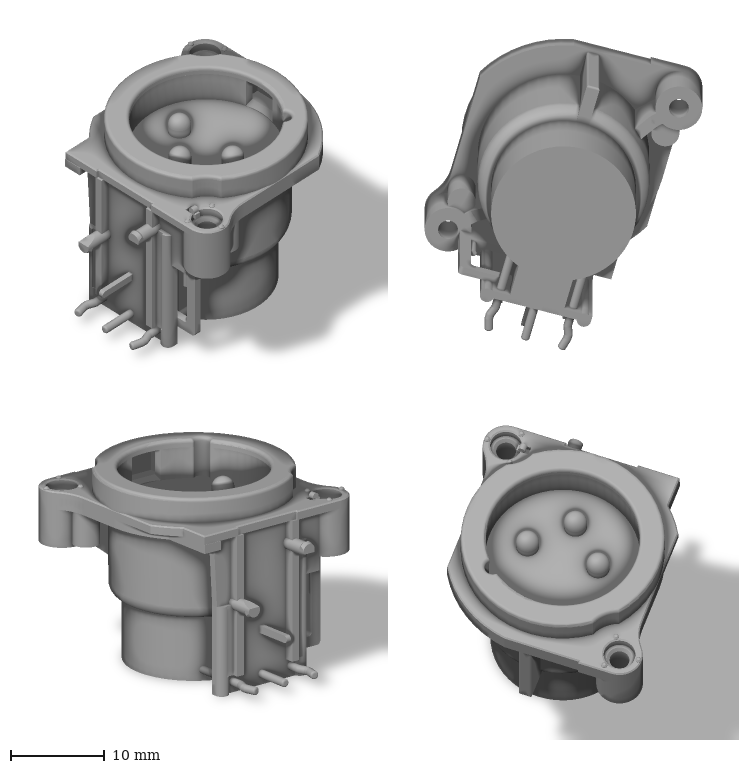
import cadquery as cq
import math

overall_width = 25.0
overall_length = 28.5
overall_height = 21.7
plate_top = 18.98
plate_step = 17.98
plate_bottom = 17.0
contact_floor = 17.3
boss_bottom = 12.68
shoulder_height = 7.3

cut_reach = 14.25

half_width = 10.92
front_depth = overall_width / 2
corner_radius = 12.48
back_edge_y = 12.28
back_tab_end_x = -6.2
clipped_corner_x = -8.75
plate_chamfer = 0.15
recess_half_width = 4.05
recess_y = -12.23
front_corner_x = -6.53
front_foot_projection = 0.05

boss_offset = 10.0
boss_radius = overall_width / 2 - boss_offset
boss_blend_radius = 5.0
screw_hole_diameter = 2.1
screw_seat_diameter = 2.75
screw_counterbore_diameter = 3.4
screw_rim_diameter = 3.75
counterbore_depth = 1.0
screw_chamfer = 0.3
rim_chamfer = 0.1
bump_diameter = 0.65
bump_height = 0.23
bump_chamfer = 0.17
bump_circle_radius = 2.15

collar_radius = 10.9
collar_fillet = 0.4
lip_bottom = 20.8
lip_overhang = 0.09
collar_notch_radius = 3.7
bore_radius = 8.2
key_radius = 0.85
key_offset = 8.26
key_corner_radius = 0.23
window_width = 4.0
window_side_depth_y = 9.05
window_back_y = 10.4
window_back_width = 5.13
ramp_start_y = 7.98
ramp_rise = 0.43

body_radius = 9.15
body_fillet = 1.48
tail_radius = 7.72
neck_half_width = 3.0
slab_back_y = -10.57
slab_front_y = -11.4
latch_box_y = 12.0
latch_box_half_width = 0.7
latch_box_fillet = 0.23

column_radius = 0.77
column_x = 5.35
column_front_y = -12.0
column_outer_x = column_x + column_radius
left_column_top = 10.1
right_column_top = 15.22
rib_inner_x = 3.33
rib_outer_x = 4.25
groove_outer_x = 5.25
groove_floor_y = -11.83
rib_bottom = 2.1
right_block_x = 7.98
right_block_bottom = 11.12

hook_x = 8.75
hook_bottom = 2.4
hook_thickness = 0.85
hook_window_x = 7.55
hook_window_bottom = 3.6
hook_fillet = 0.43
post_radius = 0.35
post_x = 7.15
post_bottom = 8.4

support_diameter = 3.0
support_y = 6.67
support_bottom = 13.15
web_width = 1.37
web_bottom = 11.49
web_outer_radius = 10.97

contact_radius = 1.23
contact_spacing = 4.0
contact_shoulder = 18.3
contact_embedding = 0.28
lead_diameter = 0.9
lead_z = 1.23
lead_back_y = -6.18
lead_tip_y = -15.5
lead_tip_fillet = 0.23
lead_kink = 0.35
kink_start_y = -12.8
kink_mid_y = -13.7
kink_end_y = -14.2
blade_width = 0.57
blade_height = 0.83
blade_z = 6.3
blade_tip_y = front_depth - overall_length

peg_diameter = 1.5
peg_x = 3.75
peg_tip_y = -14.82
peg_taper_start_y = -13.2
peg_tip_flat = 0.3
barb_radius = 0.9
barb_start_y = -14.08
barb_peak_y = -14.34

ground_x = 8.18
ground_y = -10.17
ground_width = 0.68
ground_radius = 0.4
ground_z = 19.15
ground_slot_x = 7.38
ground_slot_width = 0.85
ground_slot_depth = 0.57
ground_tab_x = 8.78


def box(x0, x1, y0, y1, z0, z1):
    return cq.Workplane("XY").box(x1 - x0, y1 - y0, z1 - z0, centered=False).translate((x0, y0, z0))


def cylinder(x, y, radius, z0, z1):
    return cq.Workplane("XY").center(x, y).circle(radius).extrude(z1 - z0).translate((0, 0, z0))


def y_cylinder(x, z, radius, y0, y1):
    return cq.Workplane("XZ", origin=(x, y1, z)).circle(radius).extrude(y1 - y0)


def both_corners(shape):
    """The shape together with its half-turn copy about the collar axis."""
    return shape.union(shape.rotate((0, 0, 0), (0, 0, 1), 180))


def on_circle(center, radius, angle):
    return (center[0] + radius * math.cos(angle), center[1] + radius * math.sin(angle))


def opposite(point):
    return (-point[0], -point[1])


boss_center = (boss_offset, -boss_offset)
blend_reach = boss_radius + boss_blend_radius
blend_offset_x = half_width + boss_blend_radius - boss_offset
boss_end_angle = math.acos(blend_offset_x / blend_reach)
blend_center = on_circle(boss_center, blend_reach, boss_end_angle)
blend_start_y = blend_center[1]
blend_mid = on_circle(blend_center, boss_blend_radius, math.pi + boss_end_angle / 2)
blend_end = on_circle(boss_center, boss_radius, boss_end_angle)
boss_mid = on_circle(boss_center, boss_radius, (boss_end_angle - math.pi / 2) / 2)


def plate_layer(z0, z1):
    center = (0, 0)
    arc_start_x = math.sqrt(corner_radius**2 - back_edge_y**2)
    arc_end_y = math.sqrt(corner_radius**2 - half_width**2)
    clip_y = -math.sqrt(corner_radius**2 - clipped_corner_x**2)
    clip_mid_angle = math.atan2(clip_y - arc_end_y, clipped_corner_x - half_width)
    back_mid = on_circle(center, corner_radius, math.pi / 4)
    clip_mid = on_circle(center, corner_radius, clip_mid_angle)
    return (
        cq.Workplane("XY", origin=(0, 0, z0))
        .moveTo(-boss_offset, front_depth)
        .lineTo(back_tab_end_x, front_depth)
        .lineTo(back_tab_end_x, back_edge_y)
        .lineTo(arc_start_x, back_edge_y)
        .threePointArc(back_mid, (half_width, arc_end_y))
        .lineTo(half_width, blend_start_y)
        .threePointArc(blend_mid, blend_end)
        .threePointArc(boss_mid, (boss_offset, -front_depth))
        .lineTo(clipped_corner_x, -front_depth)
        .lineTo(clipped_corner_x, clip_y)
        .threePointArc(clip_mid, (-half_width, -arc_end_y))
        .lineTo(-half_width, -blend_start_y)
        .threePointArc(opposite(blend_mid), opposite(blend_end))
        .threePointArc(opposite(boss_mid), (-boss_offset, front_depth))
        .close()
        .extrude(z1 - z0)
    )


def plate():
    upper = plate_layer(plate_step, plate_top)
    upper = upper.cut(box(-recess_half_width, recess_half_width, -cut_reach, recess_y, plate_step, plate_top))
    upper = upper.faces(">Z").edges().chamfer(plate_chamfer)
    lower = plate_layer(plate_bottom, plate_step)
    lower = lower.cut(box(front_corner_x, cut_reach, -cut_reach, slab_front_y, plate_bottom, plate_step))
    corner = box(-cut_reach, clipped_corner_x, -cut_reach, 0, plate_bottom, plate_step)
    lower = lower.cut(corner.cut(cylinder(0, 0, half_width, plate_bottom, plate_step)))
    foot = box(clipped_corner_x, front_corner_x, -front_depth - front_foot_projection, slab_front_y,
               plate_bottom, plate_step)
    return upper.union(lower).union(foot)


def collar():
    ring = cylinder(0, 0, collar_radius, plate_step, overall_height)
    notch = cylinder(boss_offset, -boss_offset, collar_notch_radius, plate_step, overall_height)
    ring = ring.cut(both_corners(notch))
    ring = ring.cut(keyed_bore(bore_radius, plate_step, overall_height))
    return ring.faces(">Z").edges().fillet(collar_fillet)


def keyed_bore(radius, z0, z1):
    """Round bore with a rounded keyway on its right back diagonal."""
    key_xy = key_offset * math.sqrt(0.5)
    shape = cylinder(0, 0, radius, z0, z1).union(cylinder(key_xy, key_xy, key_radius, z0, z1))
    key_region = cq.selectors.BoxSelector(
        (key_xy - key_radius, key_xy - key_radius, z0),
        (key_xy + key_radius, key_xy + key_radius, z1),
    )
    corners = shape.edges("|Z").edges(key_region)
    return corners.fillet(key_corner_radius)


def bore():
    """Bore below the collar top, slightly wider under its lip."""
    lower = keyed_bore(bore_radius + lip_overhang, contact_floor, lip_bottom)
    return lower.union(keyed_bore(bore_radius, lip_bottom, overall_height))


def latch_window():
    """Pocket in the back of the bore wall, widening behind the wall, with a ramp as its floor."""
    half_mouth = window_width / 2
    half_back = window_back_width / 2
    ramp_top = contact_floor + ramp_rise
    mouth = box(-half_mouth, half_mouth, 0, window_back_y, contact_floor, lip_bottom)
    chamber = box(-half_back, half_back, window_side_depth_y, window_back_y, ramp_top, lip_bottom)
    ramp = (
        cq.Workplane("YZ")
        .polyline([
            (ramp_start_y, contact_floor),
            (window_side_depth_y, ramp_top),
            (window_back_y, ramp_top),
            (window_back_y, contact_floor),
        ])
        .close()
        .extrude(half_back, both=True)
    )
    return mouth.union(chamber).cut(ramp)


def body():
    upper = cylinder(0, 0, body_radius, shoulder_height, plate_step).faces("<Z").edges().fillet(body_fillet)
    tail = cylinder(0, 0, tail_radius, 0, shoulder_height)
    neck = box(-neck_half_width, neck_half_width, slab_front_y, 0, 0, plate_step)
    latch_box = box(-latch_box_half_width, latch_box_half_width, 0, latch_box_y, shoulder_height, plate_step)
    latch_box = latch_box.faces(">Y").edges("not >Z").fillet(latch_box_fillet)
    return upper.union(tail).union(neck).union(latch_box)


def front_slab():
    return (
        cq.Workplane("XZ", origin=(0, slab_back_y, 0))
        .polyline([
            (-column_outer_x, 0),
            (column_outer_x, 0),
            (column_outer_x, right_block_bottom),
            (right_block_x, right_block_bottom),
            (right_block_x, plate_step),
            (front_corner_x, plate_step),
            (front_corner_x, plate_bottom),
            (-column_outer_x, left_column_top),
        ])
        .close()
        .extrude(slab_back_y - slab_front_y)
    )


def column(side, top):
    """Round-nosed column replacing the slab below its top, with a groove and an upright rib beside it."""
    x = side * column_x
    nose_y = column_front_y + column_radius
    nose = cylinder(x, nose_y, column_radius, 0, top)
    stem = box(x - column_radius, x + column_radius, nose_y, slab_back_y, 0, top)
    groove_x = sorted((side * rib_outer_x, side * groove_outer_x))
    rib_x = sorted((side * rib_inner_x, side * rib_outer_x))
    groove = box(*groove_x, column_front_y, groove_floor_y, rib_bottom, top)
    floor = box(*groove_x, groove_floor_y, slab_back_y, rib_bottom, top)
    rib = box(*rib_x, -front_depth, slab_back_y, rib_bottom, plate_step)
    return nose.union(stem).cut(groove).union(floor).union(rib)


def hook():
    back_y = slab_back_y + hook_thickness
    outer = box(0, hook_x, slab_back_y, back_y, hook_bottom, plate_step)
    outer = outer.edges("|Y and >X and <Z").fillet(hook_fillet)
    window = box(neck_half_width, hook_window_x, slab_back_y, back_y, hook_window_bottom, right_block_bottom)
    window = window.edges("|Y and >X and <Z").fillet(hook_fillet)
    post = cylinder(post_x, slab_back_y + post_radius, post_radius, post_bottom, plate_step)
    return outer.cut(window).union(post)


def boss():
    """Right front screw boss with its round support and sloping web."""
    shape = cylinder(boss_offset, -boss_offset, boss_radius, boss_bottom, plate_step)
    support_radius = support_diameter / 2
    support_x = half_width - support_radius
    shape = shape.union(cylinder(support_x, -support_y, support_radius, support_bottom, plate_step))
    web = (
        cq.Workplane("XZ")
        .polyline([
            (body_radius - web_width, plate_step),
            (body_radius - web_width, web_bottom),
            (body_radius, web_bottom),
            (web_outer_radius, boss_bottom),
            (boss_offset * math.sqrt(2), boss_bottom),
            (boss_offset * math.sqrt(2), plate_step),
        ])
        .close()
        .extrude(web_width / 2, both=True)
        .rotate((0, 0, 0), (0, 0, 1), -45)
    )
    return shape.union(web)


def screw_hole():
    hole_radius = screw_hole_diameter / 2
    counterbore_radius = screw_counterbore_diameter / 2
    seat = plate_top - counterbore_depth
    return (
        cq.Workplane("XZ", origin=(boss_offset, -boss_offset, 0))
        .polyline([
            (0, 0),
            (hole_radius, 0),
            (hole_radius, seat - screw_chamfer),
            (screw_seat_diameter / 2, seat),
            (counterbore_radius, seat),
            (counterbore_radius, plate_top - rim_chamfer),
            (screw_rim_diameter / 2, plate_top),
            (0, plate_top),
        ])
        .close()
        .revolve(360, (0, 0, 0), (0, 1, 0))
    )


def boss_bumps():
    bump = cylinder(boss_offset + bump_circle_radius, -boss_offset, bump_diameter / 2,
                    plate_top - plate_chamfer, plate_top + bump_height)
    bump = bump.faces(">Z").chamfer(bump_chamfer)
    bumps = bump
    for angle in (120, 240):
        bumps = bumps.union(bump.rotate((boss_offset, -boss_offset, 0), (boss_offset, -boss_offset, 1), angle))
    return bumps


def contact(x, y):
    pin = cylinder(x, y, contact_radius, contact_floor - contact_embedding, contact_shoulder)
    return pin.union(cq.Workplane("XY").sphere(contact_radius).translate((x, y, contact_shoulder)))


def kinked_lead(side):
    x = side * contact_spacing
    kink_x = x + side * lead_kink
    path = cq.Workplane("XY", origin=(0, 0, lead_z)).polyline([
        (x, lead_back_y),
        (x, kink_start_y),
        (kink_x, kink_mid_y),
        (kink_x, kink_end_y),
        (x, lead_tip_y),
    ])
    lead = (
        cq.Workplane("XZ", origin=(x, lead_back_y, lead_z))
        .circle(lead_diameter / 2)
        .sweep(path, transition="round")
    )
    return lead.faces("<Y or >Y").edges().fillet(lead_tip_fillet)


def center_lead():
    lead = y_cylinder(0, lead_z, lead_diameter / 2, lead_tip_y, slab_back_y)
    return lead.faces("<Y").edges().fillet(lead_tip_fillet)


def blade():
    tip_radius = blade_height / 2
    tip_center_y = blade_tip_y + tip_radius
    bar = box(-blade_width / 2, blade_width / 2, tip_center_y, slab_back_y,
              blade_z - tip_radius, blade_z + tip_radius)
    tip = (
        cq.Workplane("YZ", origin=(0, tip_center_y, blade_z))
        .circle(tip_radius)
        .extrude(blade_width / 2, both=True)
    )
    return bar.union(tip)


def snap_peg(x, z, barb_side):
    """Round peg with a flat taper on one side and a barb on the other."""
    radius = peg_diameter / 2
    peg = y_cylinder(x, z, radius, peg_tip_y, slab_back_y)
    taper = (
        cq.Workplane("YZ", origin=(x, 0, z))
        .polyline([
            (peg_taper_start_y, -barb_side * radius),
            (peg_tip_y, -barb_side * peg_tip_flat),
            (peg_tip_y, -barb_side * radius),
        ])
        .close()
        .extrude(radius, both=True)
    )
    barb = (
        cq.Workplane("XY", origin=(x, 0, z))
        .polyline([
            (0, barb_start_y),
            (radius, barb_start_y),
            (barb_radius, barb_peak_y),
            (radius, peg_tip_y),
            (0, peg_tip_y),
        ])
        .close()
        .revolve(180, (0, 0, 0), (0, -barb_side, 0))
    )
    barb = barb.intersect(box(x - radius, x + radius, peg_tip_y, 0, 0, plate_top))
    return peg.cut(taper).union(barb)


def ground_slot():
    half_slot = ground_slot_width / 2
    return box(ground_slot_x, ground_x, ground_y - half_slot, ground_y + half_slot,
               plate_top - ground_slot_depth, plate_top)


def ground_contact():
    """Rolled contact strip standing out of its slot, with a tab toward the screw hole."""
    y0 = ground_y - ground_width / 2
    y1 = ground_y + ground_width / 2
    roll = y_cylinder(ground_x, ground_z, ground_radius, y0, y1)
    return roll.union(box(ground_x, ground_tab_x, y0, y1, plate_top - ground_slot_depth, plate_top))


result = plate().union(collar()).union(body()).union(front_slab()).union(hook())
result = result.union(both_corners(boss()))
result = result.cut(bore())
result = result.cut(both_corners(screw_hole()))
result = result.union(both_corners(boss_bumps()))
result = result.cut(latch_window())
for side, top in ((-1, left_column_top), (1, right_column_top)):
    edge_x = sorted((side * column_x, side * column_outer_x))
    result = result.cut(box(*edge_x, slab_front_y, slab_back_y, 0, top))
    result = result.union(column(side, top))
for x, y in ((-contact_spacing, 0), (contact_spacing, 0), (0, -contact_spacing)):
    result = result.union(contact(x, y))
for side in (-1, 1):
    result = result.union(kinked_lead(side))
result = result.union(center_lead()).union(blade())
result = result.union(snap_peg(-peg_x, left_column_top, -1)).union(snap_peg(peg_x, right_column_top, 1))
result = result.cut(ground_slot()).union(ground_contact())